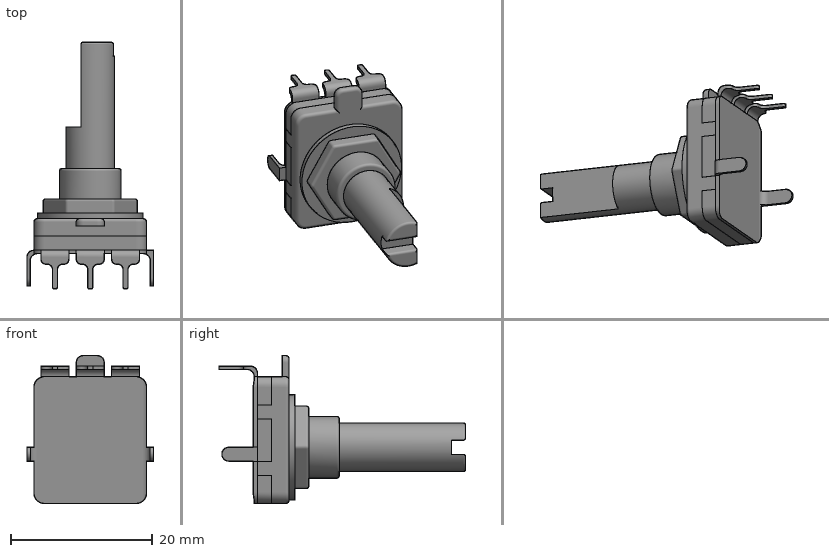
import cadquery as cq
import math


body_width = 16.0
body_height = 18.0
body_corner_radius = 1.5
base_depth = 2.0
cover_depth = 2.5
edge_round = 0.5
body_center_z = 1.0
body_front_y = base_depth + cover_depth
body_top_z = body_center_z + body_height / 2

tab_width = 4.0
tab_height = 3.0
tab_thickness = 1.0
tab_corner_radius = 1.0

arm_width = 2.0
arm_spacing = 8.0
arm_thickness = 0.5
arm_length = body_front_y - edge_round

seat_diameter = 14.98
seat_thickness = 0.8
hex_across_flats = 11.72
hex_thickness = 2.0
hex_corner_radius = 0.5
bushing_diameter = 8.8
bushing_length = 4.3
collar_round = 0.4
hex_front_y = body_front_y + seat_thickness + hex_thickness
bushing_front_y = hex_front_y + bushing_length

shaft_diameter = 6.93
shaft_tip_y = 29.5
tip_round = 0.35
flat_offset = 1.33
flat_length = 12.0
slot_width = 2.0
slot_depth = 2.0

sheet_thickness = 0.5
overall_width = 18.0
leg_width = 2.0
leg_length = 5.08
leg_end_radius = 0.499 * leg_width
leg_drop = 2.0
bend_radius = 1.0
leg_outer_x = overall_width / 2
leg_inner_x = leg_outer_x - sheet_thickness
leg_center_z = body_center_z - leg_drop

terminal_pitch = 5.0
terminal_offsets = (-terminal_pitch, 0, terminal_pitch)
terminal_width = 4.0
terminal_rise = sheet_thickness + bend_radius
terminal_length = 5.5
shoulder_length = 2.0
shoulder_radius = 0.75
pin_width = 0.75
pin_tip_round = 0.28


def box_between(x0, x1, y0, y1, z0, z1):
    return cq.Workplane("XY").box(x1 - x0, y1 - y0, z1 - z0, centered=False).translate((x0, y0, z0))


def y_cylinder(diameter, y0, y1):
    return cq.Workplane("XZ", origin=(0, y0, 0)).circle(diameter / 2).extrude(y0 - y1)


def housing_block(y0, y1):
    """Rounded rectangular slice of the housing between two Y planes."""
    return (
        cq.Workplane("XZ", origin=(0, y0, body_center_z))
        .rect(body_width, body_height)
        .extrude(y0 - y1)
        .edges("|Y")
        .fillet(body_corner_radius)
    )


def side_arms():
    """Flush strips, two on each side, from the back plane up to the rounded front edge."""
    arms = cq.Workplane("XY")
    for side in (-1, 1):
        for level in (-1, 1):
            center_x = side * (body_width - arm_thickness) / 2
            center_z = body_center_z + level * arm_spacing / 2
            arm = cq.Workplane("XY").box(arm_thickness, arm_length, arm_width)
            arms = arms.add(arm.translate((center_x, arm_length / 2, center_z)))
    return arms.combine()


def make_cover():
    tab_root_z = body_top_z - body_corner_radius
    tab = box_between(
        -tab_width / 2, tab_width / 2,
        body_front_y - tab_thickness, body_front_y,
        tab_root_z, body_top_z + tab_height,
    ).edges("|Y and >Z").fillet(tab_corner_radius)
    cover = housing_block(base_depth, body_front_y).union(tab)
    cover = cover.faces(">Y").edges().fillet(edge_round)

    seat = y_cylinder(seat_diameter, body_front_y, body_front_y + seat_thickness)
    hexagon = (
        cq.Workplane("XZ", origin=(0, body_front_y + seat_thickness, 0))
        .polygon(6, hex_across_flats / math.cos(math.pi / 6))
        .extrude(-hex_thickness)
        .edges("|Y")
        .fillet(hex_corner_radius)
        .faces(">Y")
        .edges()
        .fillet(collar_round)
    )
    bushing = y_cylinder(bushing_diameter, hex_front_y, bushing_front_y)
    bushing = bushing.faces(">Y").edges().fillet(collar_round)
    bore = y_cylinder(shaft_diameter, base_depth, bushing_front_y)
    cover = cover.union(seat).union(hexagon).union(bushing).cut(bore)
    arms = side_arms()
    return cover.cut(arms).union(arms, clean=False)


def make_base():
    return housing_block(0, base_depth).cut(side_arms())


def make_shaft():
    radius = shaft_diameter / 2
    shaft = y_cylinder(shaft_diameter, base_depth, shaft_tip_y)
    flat_cut = box_between(
        -shaft_diameter, -flat_offset,
        shaft_tip_y - flat_length, shaft_tip_y,
        -radius, radius,
    )
    slot = box_between(
        -radius, radius,
        shaft_tip_y - slot_depth, shaft_tip_y,
        -slot_width / 2, slot_width / 2,
    )
    return shaft.cut(flat_cut).cut(slot).faces(">Y").edges().fillet(tip_round)


def leg_blank(side):
    """Profile of one leg, bent back from the plate, as a straight bar along Z."""
    bend_y = -sheet_thickness - bend_radius
    diagonal = bend_radius * math.sqrt(0.5)
    bend_x = leg_inner_x - bend_radius
    profile = (
        cq.Workplane("XY", origin=(0, 0, body_center_z - body_height / 2))
        .moveTo(0, 0)
        .lineTo(side * leg_outer_x, 0)
        .lineTo(side * leg_outer_x, -leg_length)
        .lineTo(side * leg_inner_x, -leg_length)
        .lineTo(side * leg_inner_x, bend_y)
        .threePointArc(
            (side * (bend_x + diagonal), bend_y + diagonal),
            (side * bend_x, -sheet_thickness),
        )
        .lineTo(0, -sheet_thickness)
        .close()
    )
    return profile.extrude(body_height)


def make_back_plate():
    sheet = leg_blank(-1).union(leg_blank(1))
    plate_outline = housing_block(-leg_length, 0)
    legs_outline = box_between(
        -leg_outer_x, leg_outer_x, -leg_length, 0,
        leg_center_z - leg_width / 2, leg_center_z + leg_width / 2,
    ).edges("|X and <Y").fillet(leg_end_radius)
    plate = sheet.intersect(plate_outline.union(legs_outline))
    return plate.edges("|Z and <X and >Y").fillet(leg_outer_x - body_width / 2)


def make_terminal(center_x):
    top_z = body_top_z + terminal_rise
    side_profile = (
        cq.Workplane("YZ", origin=(center_x - terminal_width / 2, 0, 0))
        .moveTo(0, body_top_z)
        .lineTo(0, top_z - bend_radius)
        .radiusArc((-bend_radius, top_z), -bend_radius)
        .lineTo(-terminal_length, top_z)
        .lineTo(-terminal_length, top_z - sheet_thickness)
        .lineTo(-sheet_thickness - bend_radius, top_z - sheet_thickness)
        .radiusArc((-sheet_thickness, body_top_z), bend_radius)
        .close()
        .extrude(terminal_width)
    )
    shoulder = box_between(
        center_x - terminal_width / 2, center_x + terminal_width / 2,
        -shoulder_length, 0,
        body_top_z, top_z,
    )
    pin = box_between(
        center_x - pin_width / 2, center_x + pin_width / 2,
        -terminal_length, 0,
        body_top_z, top_z,
    )
    outline = shoulder.edges("|Z and <Y").fillet(shoulder_radius).union(pin)
    outline = outline.edges("|Z and <Y").fillet(pin_tip_round)
    neck = cq.selectors.BoxSelector(
        (center_x - pin_width, -shoulder_length - pin_width, body_top_z),
        (center_x + pin_width, -shoulder_length + pin_width, top_z),
    )
    outline = outline.edges("|Z").edges(neck).fillet(shoulder_radius)
    return side_profile.intersect(outline)


cover = make_cover()
base = make_base()
shaft = make_shaft()
back_plate = make_back_plate()
terminals = [make_terminal(offset) for offset in terminal_offsets]

result = cq.Compound.makeCompound(
    [cover.val(), base.val(), shaft.val(), back_plate.val()]
    + [terminal.val() for terminal in terminals]
)